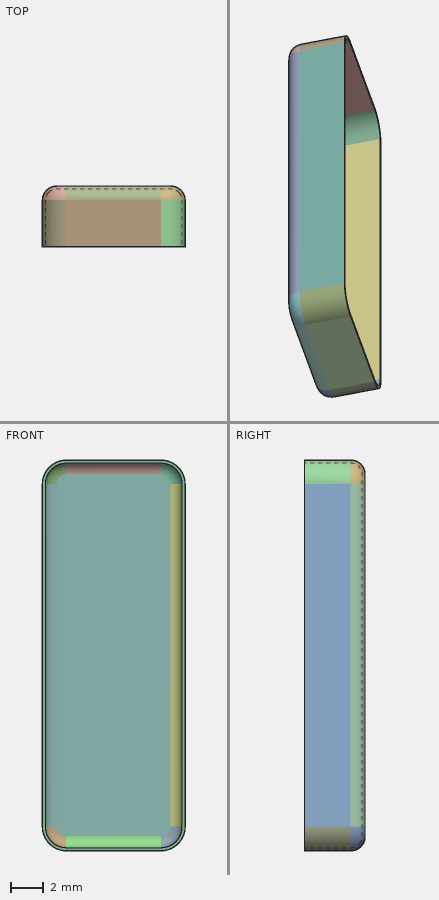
import cadquery as cq

width = 8.9
depth = 3.8
height = 24.3

wall = 0.2
corner_radius = 1.5
back_edge_radius = 0.9
inner_corner_radius = corner_radius - wall
inner_edge_radius = back_edge_radius - wall


def rounded_block(size_x, size_y, size_z, corner, back_edge):
    """Block from Y = 0 to size_y with rounded upright corners and a rounded +Y rim."""
    block = cq.Workplane("XY").box(size_x, size_y, size_z, centered=(True, False, True))
    return block.edges("|Y").fillet(corner).faces(">Y").edges().fillet(back_edge)


outer = rounded_block(width, depth, height, corner_radius, back_edge_radius)
cavity = rounded_block(
    width - 2 * wall,
    depth - wall,
    height - 2 * wall,
    inner_corner_radius,
    inner_edge_radius,
)
result = outer.cut(cavity)